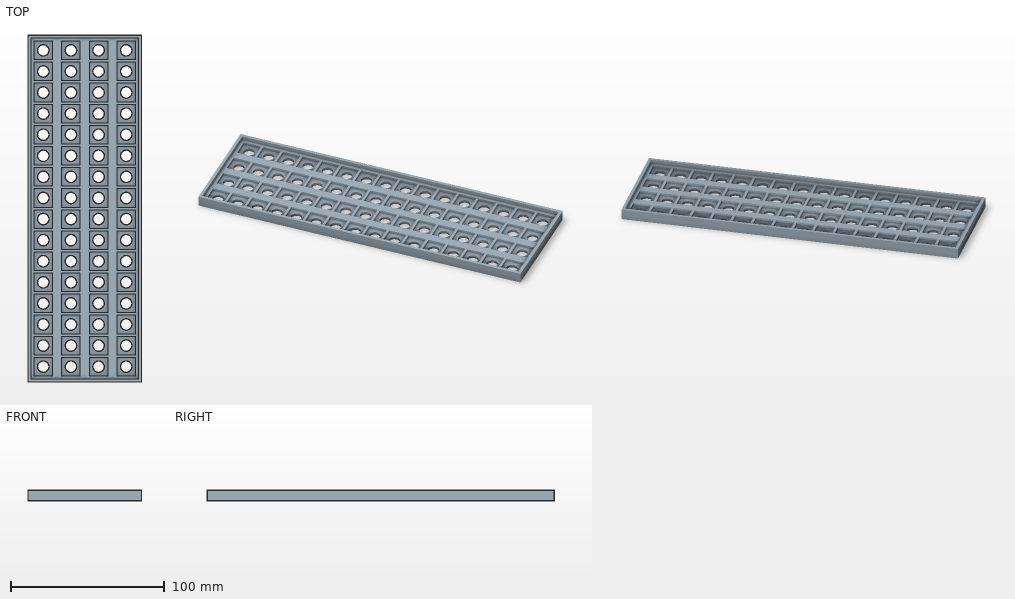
import cadquery as cq

LENGTH_X = 74.0
LENGTH_Y = 226.0
HEIGHT = 7.0
RIM_WIDTH = 2.0
RIM_DEPTH = 3.0

COLUMNS = 4
ROWS = 16
POCKET_SIDE = 12.1
POCKET_DEPTH = 2.0
EDGE_TO_HOLE = 10.0
HOLE_DIAMETER = 7.3

FLOOR_Z = HEIGHT - RIM_DEPTH
PITCH_X = (LENGTH_X - 2 * EDGE_TO_HOLE) / (COLUMNS - 1)
PITCH_Y = (LENGTH_Y - 2 * EDGE_TO_HOLE) / (ROWS - 1)


def make_tray():
    """Rectangular plate with a shallow recess that leaves a raised rim; base on Z = 0."""
    plate = cq.Workplane("XY").box(LENGTH_X, LENGTH_Y, HEIGHT, centered=(True, True, False))
    recess = (
        cq.Workplane("XY", origin=(0, 0, FLOOR_Z))
        .rect(LENGTH_X - 2 * RIM_WIDTH, LENGTH_Y - 2 * RIM_WIDTH)
        .extrude(RIM_DEPTH)
    )
    return plate.cut(recess)


def grid_on_floor():
    """Grid of pocket centres, centred on the recess floor."""
    floor = cq.Workplane("XY", origin=(0, 0, FLOOR_Z))
    return floor.rarray(PITCH_X, PITCH_Y, COLUMNS, ROWS)


def make_pockets():
    """Square pockets sunk into the recess floor."""
    return grid_on_floor().rect(POCKET_SIDE, POCKET_SIDE).extrude(-POCKET_DEPTH)


def make_holes():
    """Round holes through the full floor, one at the centre of each pocket."""
    return grid_on_floor().circle(HOLE_DIAMETER / 2).extrude(-FLOOR_Z)


result = make_tray().cut(make_pockets()).cut(make_holes())